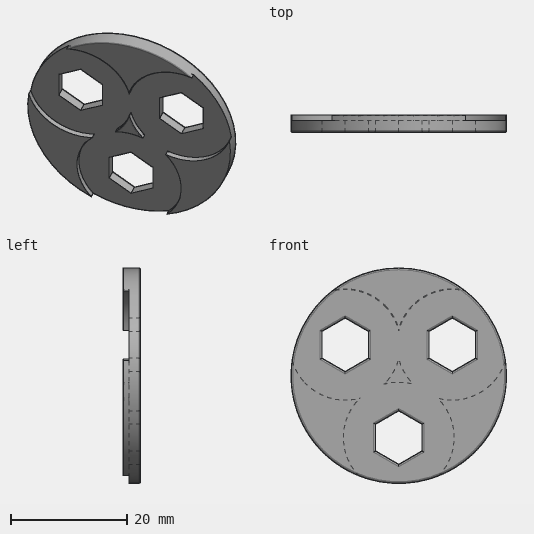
import cadquery as cq
import math

disc_diameter = 37.0
thickness = 3.0
rim_fillet = 0.3

hex_count = 3
hex_circle_radius = 10.62
hex_across_flats = 7.95
hex_lip_fillet = 0.35
first_hex_angle = 30.0

recess_radius = 9.5
recess_depth = 1.0
land_fillet = 0.1

front_y = -thickness / 2
back_y = thickness / 2
hex_corner_diameter = hex_across_flats / math.cos(math.radians(30))


def hole_centers():
    """X and Z of the equally spaced hexagonal holes."""
    centers = []
    for index in range(hex_count):
        angle = math.radians(first_hex_angle + index * 360 / hex_count)
        centers.append((hex_circle_radius * math.cos(angle), hex_circle_radius * math.sin(angle)))
    return centers


def face_plane(x, y, z):
    """Plane facing the back, with its local X along Z so hexagons point up and down."""
    return cq.Plane(origin=(x, y, z), xDir=(0, 0, 1), normal=(0, 1, 0))


def make_disc():
    """Round plate with a rounded front rim."""
    disc = cq.Workplane(face_plane(0, front_y, 0)).circle(disc_diameter / 2).extrude(thickness)
    return disc.faces("<Y").edges().fillet(rim_fillet)


def hex_hole(x, z):
    """Through hexagon at a hole center."""
    return cq.Workplane(face_plane(x, front_y, z)).polygon(6, hex_corner_diameter).extrude(thickness)


def back_recess(x, z):
    """Round recess around a hole; it breaks through the rim and meets its neighbors."""
    floor_y = back_y - recess_depth
    return cq.Workplane(face_plane(x, floor_y, z)).circle(recess_radius).extrude(recess_depth)


def round_hole_lips(body):
    """Round the straight edges where the hexagons open on the front face."""
    return body.faces("<Y").edges("%LINE").fillet(hex_lip_fillet)


def round_lands(body):
    """Round the back outlines of the central island and the top land; the lower lands stay sharp."""
    for land in body.faces(">Y").vals():
        center = land.Center()
        is_island = math.hypot(center.x, center.z) < recess_radius / 2
        is_top_land = center.z > recess_radius
        if is_island or is_top_land:
            body = body.newObject(land.Edges()).fillet(land_fillet)
    return body


disc = make_disc()
for center_x, center_z in hole_centers():
    disc = disc.cut(hex_hole(center_x, center_z))
    disc = disc.cut(back_recess(center_x, center_z))
result = round_lands(round_hole_lips(disc))